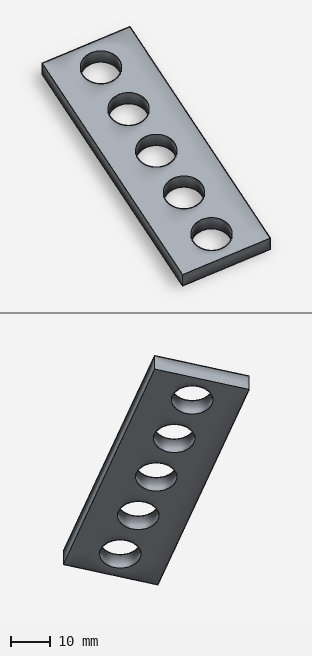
import cadquery as cq

length = 76.0
width = 25.0
thickness = 4.6

hole_count = 5
hole_diameter = 10.4
hole_pitch = 15.0

plate = cq.Workplane("XY").box(length, width, thickness)

result = (
    plate.faces(">Z")
    .workplane()
    .rarray(hole_pitch, width, hole_count, 1)
    .hole(hole_diameter)
)